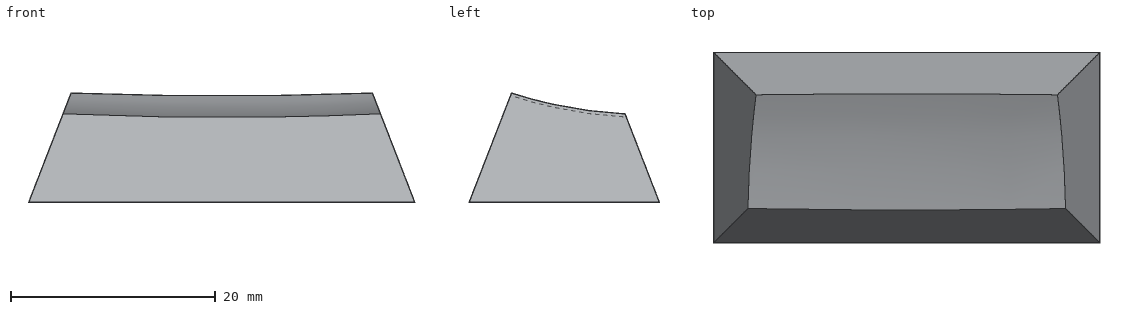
import cadquery as cq
import math

BASE_LENGTH = 37.7
BASE_WIDTH = 18.6
WALL_ANGLE = 21.2
BACK_HEIGHT = 10.67
FRONT_HEIGHT = 8.65
DISH_LONG_RADIUS = 346.95
DISH_SAG = 0.38
BLANK_HEIGHT = 12.05
CLEARANCE = 1.9

WALL_SLOPE = math.tan(math.radians(WALL_ANGLE))
BACK_Y = BASE_WIDTH / 2 - BACK_HEIGHT * WALL_SLOPE
FRONT_Y = -(BASE_WIDTH / 2 - FRONT_HEIGHT * WALL_SLOPE)
BACK_HALF_LENGTH = BASE_LENGTH / 2 - BACK_HEIGHT * WALL_SLOPE
FRONT_HALF_LENGTH = BASE_LENGTH / 2 - FRONT_HEIGHT * WALL_SLOPE

AXIS_HEIGHT = BACK_HEIGHT + math.sqrt(DISH_LONG_RADIUS**2 - BACK_HALF_LENGTH**2)


def middle_height(corner_height, half_length):
    """Height at X = 0 of the turned surface that passes through a top corner."""
    return AXIS_HEIGHT - math.hypot(AXIS_HEIGHT - corner_height, half_length)


def make_blank():
    """Rectangular frustum with equally leaning walls."""
    return cq.Workplane("XY").rect(BASE_LENGTH, BASE_WIDTH).extrude(BLANK_HEIGHT, taper=WALL_ANGLE)


def make_dish_cutter():
    """Everything above the doubly curved top surface."""
    front_z = middle_height(FRONT_HEIGHT, FRONT_HALF_LENGTH)
    back_z = middle_height(BACK_HEIGHT, BACK_HALF_LENGTH)

    chord = math.hypot(BACK_Y - FRONT_Y, back_z - front_z)
    radius = chord**2 / (8 * DISH_SAG) + DISH_SAG / 2
    chord_angle = math.atan2(back_z - front_z, BACK_Y - FRONT_Y)
    rise = radius - DISH_SAG
    center_y = (FRONT_Y + BACK_Y) / 2 - rise * math.sin(chord_angle)
    center_z = (front_z + back_z) / 2 + rise * math.cos(chord_angle)

    def arc_point(y):
        return y, center_z - math.sqrt(radius**2 - (y - center_y) ** 2)

    start_y = FRONT_Y - CLEARANCE
    end_y = BACK_Y + CLEARANCE
    top_z = BLANK_HEIGHT + CLEARANCE
    sweep_angle = 2 * math.degrees(math.asin((BASE_LENGTH / 2 + CLEARANCE) / DISH_LONG_RADIUS))

    cutter = (
        cq.Workplane("YZ")
        .moveTo(*arc_point(start_y))
        .threePointArc(arc_point((start_y + end_y) / 2), arc_point(end_y))
        .lineTo(end_y, top_z)
        .lineTo(start_y, top_z)
        .close()
        .revolve(sweep_angle, (0, AXIS_HEIGHT), (1, AXIS_HEIGHT))
    )
    return cutter.rotate((0, 0, AXIS_HEIGHT), (0, 1, AXIS_HEIGHT), -sweep_angle / 2)


def make_keycap():
    """Solid keycap with leaning walls and a dished top."""
    return make_blank().cut(make_dish_cutter()).solids()


keycap = make_keycap()

result = cq.Compound.makeCompound([keycap.val()])